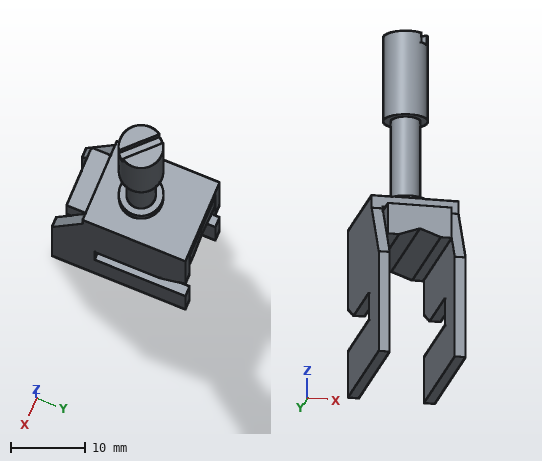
import cadquery as cq

width = 12.0
depth = 19.5
sheet = 1.5
bracket_height = 23.75
plate_front = 4.5
front_slope_top = 21.95
front_slope_bottom = 14.2
jaw_end = 6.25
jaw_bottom = 6.57
jaw_top = 10.4
lead_in_length = 3.65
lead_in_top = 12.55

side_clearance = 0.1
pad_width = width - 2 * (sheet + side_clearance)
pad_front = 1.45
pad_bottom = 17.4
pad_top = 21.7
notch_half_width = 2.85
notch_peak = 18.4

screw_y = 10.5
screw_top = 48.7
head_diameter = 6.05
head_bottom = 36.75
shank_diameter = 4.0
collar_top = 25.2
slot_width = 1.3
slot_depth = 1.35
slot_angle = -45


def make_bracket():
    """C-shaped side profile, hollowed to leave two legs and a top plate."""
    side_profile = [
        (0, 0),
        (depth, 0),
        (depth, jaw_bottom),
        (jaw_end, jaw_bottom),
        (jaw_end, jaw_top),
        (depth - lead_in_length, jaw_top),
        (depth, lead_in_top),
        (depth, bracket_height),
        (plate_front, bracket_height),
        (plate_front, front_slope_top),
        (0, front_slope_bottom),
    ]
    block = cq.Workplane("YZ").polyline(side_profile).close().extrude(width / 2, both=True)
    space_between_legs = cq.Workplane("XY").box(
        width - 2 * sheet, depth, bracket_height - sheet, centered=(True, False, False)
    )
    return block.cut(space_between_legs)


def make_pad():
    """Block with a shallow V along its underside, ending flush with the back."""
    half_width = pad_width / 2
    front_profile = [
        (-half_width, pad_top),
        (-half_width, pad_bottom),
        (-notch_half_width, pad_bottom),
        (0, notch_peak),
        (notch_half_width, pad_bottom),
        (half_width, pad_bottom),
        (half_width, pad_top),
    ]
    pad = cq.Workplane("XZ").polyline(front_profile).close().extrude(pad_front - depth)
    return pad.translate((0, pad_front, 0))


def screw_cylinder(diameter, bottom, top):
    return cq.Workplane("XY", origin=(0, screw_y, bottom)).circle(diameter / 2).extrude(top - bottom)


def make_screw():
    """Collar, shank and slotted head; the shank reaches down to the pad."""
    shank = screw_cylinder(shank_diameter, pad_top, head_bottom)
    collar = screw_cylinder(head_diameter, bracket_height, collar_top)
    head = screw_cylinder(head_diameter, head_bottom, screw_top)
    driver_slot = (
        cq.Workplane("XY")
        .box(2 * head_diameter, slot_width, slot_depth, centered=(True, True, False))
        .rotate((0, 0, 0), (0, 0, 1), slot_angle)
        .translate((0, screw_y, screw_top - slot_depth))
    )
    return shank.union(collar).union(head.cut(driver_slot))


result = make_bracket().union(make_pad()).union(make_screw())